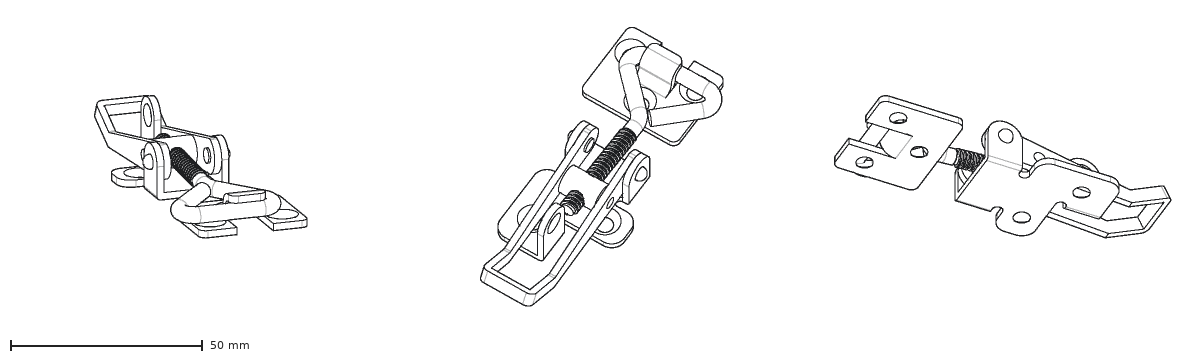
import cadquery as cq
import math


cos_45 = math.sqrt(0.5)

sheet = 2.0
ear_width = 10.0
ear_radius = ear_width / 2
screw_hole = 4.5
countersink = screw_hole + 2 * sheet

lever_width = 16.0
lever_inside = lever_width - 2 * sheet
handle_width = 3.95
handle_angle = 27.0
arm_top_angle = 11.9
arm_bottom_angle = 3.7
lever_corner_x, lever_corner_z = 11.9, 1.9
lever_end_radius = ear_radius
handle_corner_radius = 2.0
elbow_radius = 1.0
nose_radius = 2.0

pivot_x, pivot_z = 49.6, 9.2
rivet_diameter = 4.0
rivet_inner_y = 5.5
barrel_x, barrel_z = 38.7, 7.45
barrel_diameter = 8.1
barrel_length = 11.0
trunnion_diameter = 3.2

base_left = 17.7
base_right = pivot_x + ear_radius
tab_left = 30.6
tab_right = 41.7
base_top_y, base_bottom_y = 15.1, -15.1
base_corner = 3.95
ear_outer_y = lever_width / 2 + sheet
ear_bend_radius = 1.0
relief_overrun = 1.3
base_hole_y = 8.0
upper_hole_x = 26.6
lower_hole_x = (tab_left + tab_right) / 2
lock_ear_top = 18.0
lock_ear_bend_radius = sheet
lock_hole = 6.0

keeper_left, keeper_right = 65.8, 89.8
keeper_top_y, keeper_bottom_y = 19.4, -10.6
keeper_middle_y = (keeper_top_y + keeper_bottom_y) / 2
keeper_corner = 2.0
keeper_hole_right_x, keeper_hole_left_x = 82.8, 71.8
keeper_hole_spread = 10.1
tongue_width = 10.1
tongue_root_x = 76.2
tongue_root_radius = 2.7
tongue_crown_radius = 3.95
tongue_top = 9.1
tongue_tip_x = 85.3
tongue_corner = 2.0

hook_tilt = 4.0
wire_diameter = 4.4
core_diameter = 3.8
thread_diameter = 4.9
thread_pitch = 1.3
thread_root_width = 0.7
thread_crest_width = 0.45
thread_left, thread_right = 30.4, 59.8
neck_end_x = 62.85
neck_bend_radius = 5.9
cross_x = 83.2
loop_bend_radius = 3.7


def xz_plane(y):
    """Plane at the given Y with local axes X and Z, whose normal points to -Y."""
    return cq.Plane(origin=(0, y, 0), xDir=(1, 0, 0), normal=(0, -1, 0))


def block(x0, x1, y0, y1, z0=0.0, z1=sheet):
    return cq.Workplane("XY").box(x1 - x0, y1 - y0, z1 - z0, centered=False).translate((x0, y0, z0))


def y_cylinder(x, z, diameter, y0, y1):
    return cq.Workplane(xz_plane(y0)).center(x, z).circle(diameter / 2).extrude(y0 - y1)


def countersunk_hole(x, y):
    """Cutter for a screw hole whose cone runs through the whole sheet."""
    return cq.Workplane(cq.Solid.makeCone(screw_hole / 2, countersink / 2, sheet, cq.Vector(x, y, 0)))


def upright_ear(center_x, y0, y1, top):
    """Flat ear with a fully rounded top."""
    body = block(center_x - ear_radius, center_x + ear_radius, y0, y1, 0, top - ear_radius)
    return body.union(y_cylinder(center_x, top - ear_radius, ear_width, y0, y1))


def bend_relief(x0, x1, tip_y, direction):
    """Round-ended notch cutter that starts at tip_y and runs outward along direction in Y."""
    radius = (x1 - x0) / 2
    start_y = tip_y + direction * radius
    end_y = tip_y + direction * (lever_width / 2)
    cutter = block(x0, x1, min(start_y, end_y), max(start_y, end_y))
    round_end = cq.Workplane("XY").center((x0 + x1) / 2, start_y).circle(radius).extrude(sheet)
    return cutter.union(round_end)


def make_base():
    half_inside = lever_width / 2
    lock_center_x = base_left + ear_radius
    lock_right = base_left + ear_width
    ear_left = pivot_x - ear_radius

    upper = block(base_left, tab_right, -sheet / 2, base_top_y)
    upper = upper.edges("|Z and >Y").fillet(base_corner)
    tab = block(tab_left, tab_right, base_bottom_y, 0)
    tab = tab.edges("|Z and <Y").fillet(base_corner)
    strip = block(tab_left, base_right, -half_inside, half_inside)
    base = upper.union(tab).union(strip)

    lock_relief_tip = sheet / 2 + relief_overrun
    base = base.cut(bend_relief(lock_right, tab_left, lock_relief_tip, -1))
    for side in (-1, 1):
        base = base.cut(bend_relief(tab_right, ear_left, side * (half_inside - relief_overrun), side))

    for side in (-1, 1):
        ear_y = sorted((side * half_inside, side * ear_outer_y))
        ear = upright_ear(pivot_x, ear_y[0], ear_y[1], pivot_z + ear_radius)
        outer_edge = ear.faces("<Z").edges("<Y" if side < 0 else ">Y")
        base = base.union(outer_edge.fillet(ear_bend_radius))
    base = base.cut(y_cylinder(pivot_x, pivot_z, rivet_diameter, -ear_outer_y, ear_outer_y))

    lock_ear = upright_ear(lock_center_x, -sheet / 2, sheet / 2, lock_ear_top)
    lock_corner = block(base_left, lock_right, -sheet / 2, sheet / 2)
    lock_bend = (
        cq.Workplane("YZ", origin=(base_left, 0, 0))
        .center(sheet / 2, lock_ear_bend_radius)
        .circle(lock_ear_bend_radius)
        .extrude(ear_width)
    )
    base = base.union(lock_ear).cut(lock_corner.cut(lock_bend))
    base = base.cut(y_cylinder(lock_center_x, lock_ear_top - ear_radius, lock_hole, -sheet, sheet))

    for x, y in ((upper_hole_x, base_hole_y), (lower_hole_x, -base_hole_y)):
        base = base.cut(countersunk_hole(x, y))
    return base


def meet_end_circle(x, z, angle):
    """Point where a line rising at angle from (x, z) leaves the lever's end circle."""
    ux, uz = math.cos(math.radians(angle)), math.sin(math.radians(angle))
    dx, dz = pivot_x - x, pivot_z - z
    along = dx * ux + dz * uz
    offset = dz * ux - dx * uz
    reach = along + math.sqrt(lever_end_radius**2 - offset**2)
    return x + reach * ux, z + reach * uz


def make_lever():
    cos_h, sin_h = math.cos(math.radians(handle_angle)), math.sin(math.radians(handle_angle))
    handle_length = lever_corner_x / cos_h
    tip_low = (0, lever_corner_z + handle_length * sin_h)
    tip_high = (tip_low[0] + handle_width * sin_h, tip_low[1] + handle_width * cos_h)

    half_turn = math.radians(handle_angle + arm_top_angle) / 2
    elbow_length = handle_length - handle_width * math.tan(half_turn)
    elbow = (tip_high[0] + elbow_length * cos_h, tip_high[1] - elbow_length * sin_h)

    arm_top = meet_end_circle(elbow[0], elbow[1], arm_top_angle)
    arm_bottom = meet_end_circle(lever_corner_x, lever_corner_z, arm_bottom_angle)
    half_width = lever_width / 2
    lever = (
        cq.Workplane(xz_plane(-half_width))
        .moveTo(*tip_low)
        .lineTo(*tip_high)
        .lineTo(*elbow)
        .lineTo(*arm_top)
        .threePointArc((pivot_x + lever_end_radius, pivot_z), arm_bottom)
        .lineTo(lever_corner_x, lever_corner_z)
        .close()
        .extrude(-lever_width)
    )
    tip_corners = cq.selectors.ParallelDirSelector(cq.Vector(sin_h, 0, cos_h))
    lever = lever.edges(tip_corners).fillet(handle_corner_radius)
    near = 0.1
    for corner, radius in ((elbow, elbow_radius), (arm_top, nose_radius)):
        low = (corner[0] - near, -half_width - near, corner[1] - near)
        high = (corner[0] + near, half_width + near, corner[1] + near)
        lever = lever.edges(cq.selectors.BoxSelector(low, high)).fillet(radius)

    reach = keeper_right
    handle_plane = cq.Plane(origin=(tip_low[0], 0, tip_low[1]), xDir=(cos_h, 0, -sin_h), normal=(0, -1, 0))
    space = cq.Workplane(handle_plane).center(sheet + reach / 2, 0)
    lever = lever.cut(space.rect(reach, 2 * reach).extrude(lever_inside / 2, both=True))

    for x, z, diameter in ((pivot_x, pivot_z, rivet_diameter), (barrel_x, barrel_z, trunnion_diameter)):
        lever = lever.cut(y_cylinder(x, z, diameter, -half_width, half_width))
    return lever


def make_rivet(side):
    """Rivet with a domed head outside the ear; side is -1 or 1 in Y."""
    radius = rivet_diameter / 2
    rivet = y_cylinder(pivot_x, pivot_z, rivet_diameter, rivet_inner_y, ear_outer_y)
    dome = cq.Workplane("XY").sphere(radius).translate((pivot_x, ear_outer_y, pivot_z))
    rivet = rivet.union(dome)
    return rivet if side > 0 else rivet.mirror("XZ")


def tilt(body):
    """Swing a body from level about the barrel axis into the hook's slope."""
    return body.rotate((barrel_x, 0, barrel_z), (barrel_x, 1, barrel_z), hook_tilt)


def x_cylinder(diameter, x0, x1):
    start = cq.Workplane("YZ", origin=(x0, 0, barrel_z))
    return start.circle(diameter / 2).extrude(x1 - x0)


def make_barrel():
    barrel = y_cylinder(barrel_x, barrel_z, barrel_diameter, -barrel_length / 2, barrel_length / 2)
    trunnions = y_cylinder(barrel_x, barrel_z, trunnion_diameter, -lever_width / 2, lever_width / 2)
    bore = x_cylinder(thread_diameter, barrel_x - barrel_diameter, barrel_x + barrel_diameter)
    return barrel.union(trunnions).cut(tilt(bore))


def make_hook():
    """Round wire bent into a triangular loop, with a thinner core under the thread."""
    neck_x = neck_end_x + neck_bend_radius * cos_45
    neck_y = neck_bend_radius * (1 - cos_45)
    loop_x = cross_x - loop_bend_radius
    loop_start_x = loop_x - loop_bend_radius * cos_45
    loop_start_y = neck_y + loop_start_x - neck_x
    loop_y = loop_start_y - loop_bend_radius * cos_45
    mid_angle = math.radians(22.5)
    out_x = loop_x + loop_bend_radius * math.sin(mid_angle)
    out_y = loop_y + loop_bend_radius * math.cos(mid_angle)
    neck_mid = (
        neck_end_x + neck_bend_radius * math.sin(mid_angle),
        neck_bend_radius * (1 - math.cos(mid_angle)),
    )
    path = (
        cq.Workplane("XY", origin=(0, 0, barrel_z))
        .moveTo(thread_right, 0)
        .lineTo(neck_end_x, 0)
        .threePointArc(neck_mid, (neck_x, neck_y))
        .lineTo(loop_start_x, loop_start_y)
        .threePointArc((out_x, out_y), (cross_x, loop_y))
        .lineTo(cross_x, -loop_y)
        .threePointArc((out_x, -out_y), (loop_start_x, -loop_start_y))
        .lineTo(neck_x, -neck_y)
    )
    wire = cq.Workplane("YZ", origin=(thread_right, 0, barrel_z)).circle(wire_diameter / 2).sweep(path)
    core = x_cylinder(core_diameter, thread_left, thread_right)
    return tilt(wire.union(core))


def make_thread():
    """Helical ridge wound on the hook's core."""
    core_radius = core_diameter / 2
    first = thread_left + thread_root_width / 2
    length = thread_right - thread_left - thread_root_width
    helix = cq.Wire.makeHelix(thread_pitch, length, core_radius)
    ridge = (
        cq.Workplane("XZ")
        .moveTo(core_radius, -thread_root_width / 2)
        .lineTo(thread_diameter / 2, -thread_crest_width / 2)
        .lineTo(thread_diameter / 2, thread_crest_width / 2)
        .lineTo(core_radius, thread_root_width / 2)
        .close()
        .sweep(cq.Workplane(helix), isFrenet=True)
    )
    along_x = ridge.rotate((0, 0, 0), (0, 1, 0), 90)
    return tilt(along_x.translate((first, 0, barrel_z)))


def make_tongue():
    """S-shaped tongue that rises from the keeper and hooks over the wire."""
    root_z = sheet + tongue_root_radius
    wall_x = tongue_root_x + tongue_root_radius
    crown_x = wall_x + tongue_crown_radius
    crown_z = tongue_top - tongue_crown_radius
    under_radius = tongue_root_radius + sheet
    inner_radius = tongue_crown_radius - sheet

    def root_middle(radius):
        return tongue_root_x + radius * cos_45, root_z - radius * cos_45

    def crown_middle(radius):
        return crown_x - radius * cos_45, crown_z + radius * cos_45

    tongue = (
        cq.Workplane(xz_plane(keeper_middle_y - tongue_width / 2))
        .moveTo(tongue_root_x, 0)
        .lineTo(tongue_root_x, sheet)
        .threePointArc(root_middle(tongue_root_radius), (wall_x, root_z))
        .lineTo(wall_x, crown_z)
        .threePointArc(crown_middle(tongue_crown_radius), (crown_x, tongue_top))
        .lineTo(tongue_tip_x, tongue_top)
        .lineTo(tongue_tip_x, tongue_top - sheet)
        .lineTo(crown_x, tongue_top - sheet)
        .threePointArc(crown_middle(inner_radius), (wall_x + sheet, crown_z))
        .lineTo(wall_x + sheet, root_z)
        .threePointArc(root_middle(under_radius), (tongue_root_x, 0))
        .close()
        .extrude(-tongue_width)
    )
    return tongue.edges("|Z and >X").fillet(tongue_corner)


def make_keeper():
    keeper = block(keeper_left, keeper_right, keeper_bottom_y, keeper_top_y)
    keeper = keeper.edges("|Z").fillet(keeper_corner)
    half_slot = tongue_width / 2
    slot = block(tongue_root_x, keeper_right, keeper_middle_y - half_slot, keeper_middle_y + half_slot)
    keeper = keeper.cut(slot).union(make_tongue())
    for x, offset in (
        (keeper_hole_right_x, keeper_hole_spread),
        (keeper_hole_right_x, -keeper_hole_spread),
        (keeper_hole_left_x, 0),
    ):
        keeper = keeper.cut(countersunk_hole(x, keeper_middle_y + offset))
    return keeper


base = make_base()
lever = make_lever()
barrel = make_barrel()
hook = make_hook()
thread = make_thread()
keeper = make_keeper()
rivets = [make_rivet(side) for side in (-1, 1)]

bodies = [base, lever, barrel, hook, thread, keeper] + rivets
result = cq.Compound.makeCompound([body.solids().val() for body in bodies])